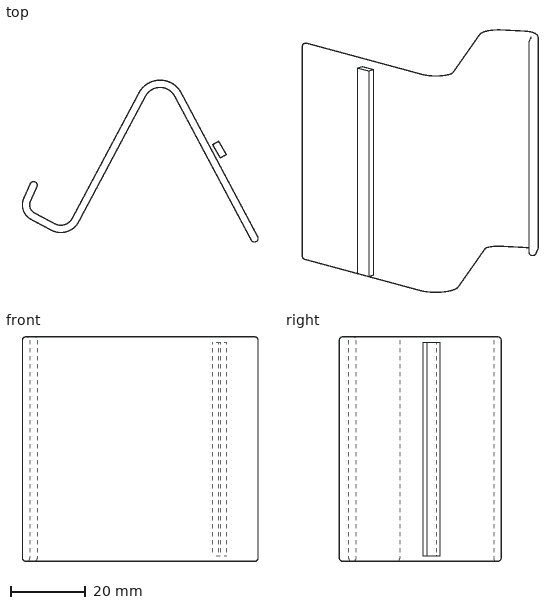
import cadquery as cq
import math

HEIGHT = 60.0
THICKNESS = 2.0
EDGE_FILLET = 0.98

ARM_SLOPE = 62.0
ARM_END = (30.85, -21.58)
LONG_ARM = 44.5
SHORT_ARM = 38.0
HOOK_FLOOR = 6.15
HOOK_TIP = 5.25
PEAK_RADIUS = 5.4
FLOOR_RADIUS = 4.4
TIP_RADIUS = 3.4
PEAK_TURN = 2 * ARM_SLOPE
FLOOR_TURN = -90.0
TIP_TURN = -86.0

BAR_THICKNESS = 1.9
BAR_WIDTH = 4.15
BAR_LENGTH = 57.0
BAR_SLOPE = 60.0
BAR_CENTER = (21.05, 3.0)


def step(point, heading, distance):
    """Point reached by going a distance along a heading in degrees."""
    angle = math.radians(heading)
    return (point[0] + distance * math.cos(angle), point[1] + distance * math.sin(angle))


def walk_centerline(start, heading, straights, bends):
    """Stations of a bent centreline, each a (point, heading).

    A bend is (radius, turn in degrees), with left turns positive. Returns the two stations of
    the first straight, and for each bend its middle, its end and the end of the next straight.
    """
    end = step(start, heading, straights[0])
    first_straight = [(start, heading), (end, heading)]
    spans = []
    for (radius, turn), straight in zip(bends, straights[1:]):
        toward_center = math.copysign(90, turn)
        center = step(end, heading + toward_center, radius)
        bend_mid = step(center, heading + turn / 2 - toward_center, radius)
        bend_end = step(center, heading + turn - toward_center, radius)
        end = step(bend_end, heading + turn, straight)
        spans.append([
            (bend_mid, heading + turn / 2),
            (bend_end, heading + turn),
            (end, heading + turn),
        ])
        heading += turn
    return first_straight, spans


def strip_outline(first_straight, spans, thickness):
    """Closed outline of a strip that follows the stations of a centreline."""

    def left(station):
        return step(station[0], station[1] + 90, thickness / 2)

    def right(station):
        return step(station[0], station[1] - 90, thickness / 2)

    start, first_end = first_straight
    outline = cq.Workplane("XY").moveTo(*left(start)).lineTo(*left(first_end))
    for bend_mid, bend_end, straight_end in spans:
        outline = outline.threePointArc(left(bend_mid), left(bend_end))
        outline = outline.lineTo(*left(straight_end))

    bend_starts = [first_end] + [straight_end for _, _, straight_end in spans[:-1]]
    outline = outline.lineTo(*right(spans[-1][-1]))
    for bend_start, (bend_mid, bend_end, _) in reversed(list(zip(bend_starts, spans))):
        outline = outline.lineTo(*right(bend_end))
        outline = outline.threePointArc(right(bend_mid), right(bend_start))
    return outline.lineTo(*right(start)).close()


def round_end(strip, end):
    """Rounds the two upright corners of the strip end that is centred on the given point."""
    end_face = strip.faces(cq.selectors.NearestToPointSelector((*end, 0)))
    return end_face.edges("|Z").fillet(EDGE_FILLET)


def make_clip():
    straights = [LONG_ARM, SHORT_ARM, HOOK_FLOOR, HOOK_TIP]
    bends = [(PEAK_RADIUS, PEAK_TURN), (FLOOR_RADIUS, FLOOR_TURN), (TIP_RADIUS, TIP_TURN)]
    first_straight, spans = walk_centerline(ARM_END, 180 - ARM_SLOPE, straights, bends)
    tip_end, _ = spans[-1][-1]

    strip = strip_outline(first_straight, spans, THICKNESS).extrude(HEIGHT / 2, both=True)
    strip = round_end(strip, ARM_END)
    strip = round_end(strip, tip_end)
    return strip.faces("|Z").edges().fillet(EDGE_FILLET).solids()


def make_marker_bar():
    return (
        cq.Workplane("XY")
        .transformed(rotate=(0, 0, -BAR_SLOPE))
        .rect(BAR_WIDTH, BAR_THICKNESS)
        .extrude(BAR_LENGTH / 2, both=True)
        .translate(BAR_CENTER)
    )


clip = make_clip()
marker_bar = make_marker_bar()

result = cq.Compound.makeCompound([clip.val(), marker_bar.val()])